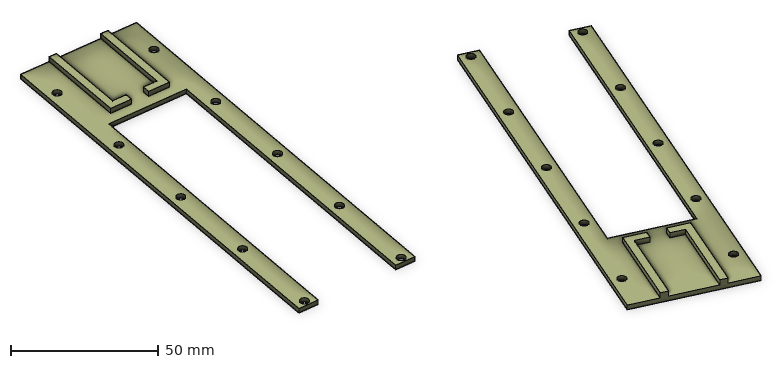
import cadquery as cq

length = 160.3
width = 48.7
plate_thickness = 2.0
total_height = 4.0

slot_start = 39.8
slot_width = 32.5

hole_diameter = 3.4
hole_count = 5
hole_pitch = 35.6
first_hole_x = 15.5
hole_row_spacing = (width + slot_width) / 2

rail_length = 35.5
rail_width = 3.0
rail_outer_span = 24.7
hook_gap = 7.2
rail_height = total_height - plate_thickness


def make_plate():
    """Fork-shaped plate, with its closed end at X = 0."""
    plate = cq.Workplane("XY").box(length, width, plate_thickness, centered=(False, True, False))
    slot = (
        cq.Workplane("XY")
        .box(length - slot_start, slot_width, plate_thickness, centered=(False, True, False))
        .translate((slot_start, 0, 0))
    )
    return plate.cut(slot)


def make_holes():
    """Cutters for the two rows of through holes."""
    centers = [
        (first_hole_x + index * hole_pitch, side * hole_row_spacing / 2)
        for index in range(hole_count)
        for side in (-1, 1)
    ]
    return cq.Workplane("XY").pushPoints(centers).circle(hole_diameter / 2).extrude(plate_thickness)


def make_rail(side):
    """Rail along X with a hook turned inward at its far end; side is +1 or -1 in Y."""
    outer_y = side * rail_outer_span / 2
    inner_y = outer_y - side * rail_width
    hook_y = side * hook_gap / 2
    hook_x = rail_length - rail_width
    outline = [
        (0, outer_y),
        (rail_length, outer_y),
        (rail_length, hook_y),
        (hook_x, hook_y),
        (hook_x, inner_y),
        (0, inner_y),
    ]
    return (
        cq.Workplane("XY")
        .workplane(offset=plate_thickness)
        .polyline(outline)
        .close()
        .extrude(rail_height)
    )


result = make_plate().cut(make_holes())
for side in (-1, 1):
    result = result.union(make_rail(side))